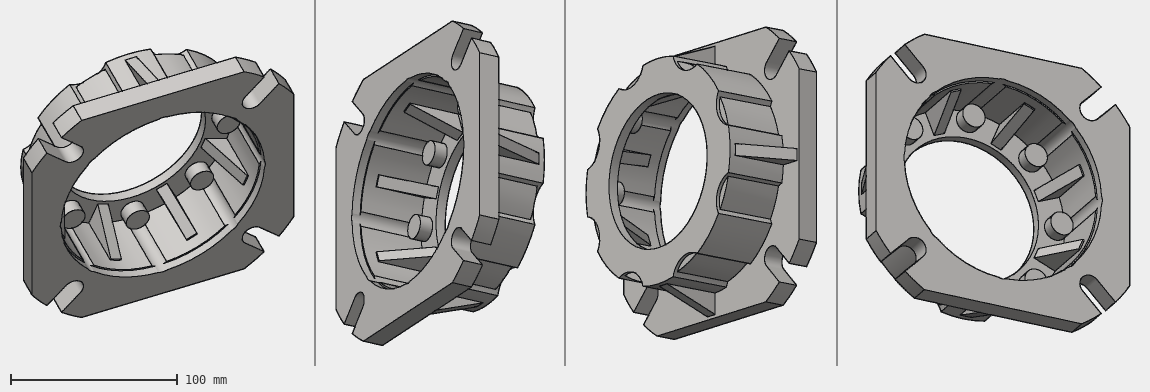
import cadquery as cq

TOTAL_LENGTH = 54.0
FRONT_X = -TOTAL_LENGTH / 2

PLATE_SIZE = 170.0
PLATE_THICKNESS = 13.3
PLATE_CORNER_RADIUS = 100.0
BARREL_LENGTH = TOTAL_LENGTH - PLATE_THICKNESS

SLOT_WIDTH = 13.5
SLOT_CENTER_RADIUS = 82.4
SLOT_COUNT = 4

BARREL_RADIUS = 69.8
LIP_BORE_RADIUS = 47.5
LIP_THICKNESS = 6.5
CAVITY_RADIUS = 65.0
BACK_RECESS_RADIUS = 66.0
BACK_RECESS_DEPTH = 5.6

SCALLOP_RADIUS = 16.0
SCALLOP_CENTER_RADIUS = 78.5
SCALLOP_FLOOR_RADIUS = 67.0
SCALLOP_FRONT_DEPTH = 2.3

BOSS_RADIUS = 7.5
BOSS_CENTER_RADIUS = 59.0
BOSS_END = 15.0

RIB_WIDTH = 7.4
RIB_START = 4.0
RIB_PLATE_RADIUS = 83.0
RIB_COUNT = 4

INNER_RIB_LIP_RADIUS = 49.7
INNER_RIB_END_RADIUS = 64.0
INNER_RIB_END = 40.0

FEATURE_COUNT = 8
FEATURE_STEP = 360.0 / FEATURE_COUNT
SCALLOP_ANGLE = FEATURE_STEP / 2

OVERLAP = 1.0


def disc(radius, start, end, center_radius=0.0):
    """Cylinder along X between two distances from the front face, offset along +Y."""
    return (
        cq.Workplane("YZ", origin=(FRONT_X + start, 0, 0))
        .center(center_radius, 0)
        .circle(radius)
        .extrude(end - start)
    )


def around_axis(body, count, first_angle=0.0):
    """Copies of a body equally spaced around the X axis, as one workplane."""
    copies = cq.Workplane("YZ")
    for index in range(count):
        angle = first_angle + index * 360.0 / count
        copies = copies.add(body.rotate((0, 0, 0), (1, 0, 0), angle).vals())
    return copies.combine()


def radial_rib(profile):
    """Rib of RIB_WIDTH centred on the XY plane, from (distance from front, radius) points."""
    points = [(FRONT_X + distance, radius) for distance, radius in profile]
    return cq.Workplane("XY").polyline(points).close().extrude(RIB_WIDTH / 2, both=True)


def make_plate():
    square = (
        cq.Workplane("YZ", origin=(FRONT_X + BARREL_LENGTH, 0, 0))
        .rect(PLATE_SIZE, PLATE_SIZE)
        .extrude(PLATE_THICKNESS)
    )
    return square.intersect(disc(PLATE_CORNER_RADIUS, BARREL_LENGTH, TOTAL_LENGTH))


def make_slots():
    slot_run = PLATE_CORNER_RADIUS + OVERLAP - SLOT_CENTER_RADIUS
    straight = (
        cq.Workplane("YZ", origin=(FRONT_X + BARREL_LENGTH, 0, 0))
        .center(SLOT_CENTER_RADIUS + slot_run / 2, 0)
        .rect(slot_run, SLOT_WIDTH)
        .extrude(PLATE_THICKNESS)
    )
    slot = straight.union(disc(SLOT_WIDTH / 2, BARREL_LENGTH, TOTAL_LENGTH, SLOT_CENTER_RADIUS))
    return around_axis(slot, SLOT_COUNT, 180.0 / SLOT_COUNT)


def make_scallops():
    full_cut = disc(SCALLOP_RADIUS, 0, BARREL_LENGTH, SCALLOP_CENTER_RADIUS)
    kept_wall = disc(SCALLOP_FLOOR_RADIUS, SCALLOP_FRONT_DEPTH, BARREL_LENGTH)
    return around_axis(full_cut.cut(kept_wall), FEATURE_COUNT, SCALLOP_ANGLE)


def make_outer_ribs():
    foot_radius = BARREL_RADIUS - OVERLAP
    profile = [
        (RIB_START, foot_radius),
        (RIB_START, BARREL_RADIUS),
        (BARREL_LENGTH, RIB_PLATE_RADIUS),
        (BARREL_LENGTH, foot_radius),
    ]
    return around_axis(radial_rib(profile), RIB_COUNT)


def make_inner_ribs():
    profile = [
        (LIP_THICKNESS, CAVITY_RADIUS + OVERLAP),
        (LIP_THICKNESS, INNER_RIB_LIP_RADIUS),
        (INNER_RIB_END, INNER_RIB_END_RADIUS),
        (INNER_RIB_END, CAVITY_RADIUS + OVERLAP),
    ]
    return around_axis(radial_rib(profile), FEATURE_COUNT, SCALLOP_ANGLE)


def make_cavity():
    cavity = disc(CAVITY_RADIUS, LIP_THICKNESS, TOTAL_LENGTH)
    cavity = cavity.union(disc(LIP_BORE_RADIUS, 0, TOTAL_LENGTH))
    recess_start = TOTAL_LENGTH - BACK_RECESS_DEPTH
    return cavity.union(disc(BACK_RECESS_RADIUS, recess_start, TOTAL_LENGTH))


def make_bosses():
    boss = disc(BOSS_RADIUS, LIP_THICKNESS, BOSS_END, BOSS_CENTER_RADIUS)
    return around_axis(boss, FEATURE_COUNT)


def make_channels():
    channel = disc(BOSS_RADIUS, BOSS_END, TOTAL_LENGTH, BOSS_CENTER_RADIUS)
    return around_axis(channel, FEATURE_COUNT)


result = disc(BARREL_RADIUS, 0, BARREL_LENGTH).cut(make_scallops())
result = result.union(make_plate()).cut(make_slots()).union(make_outer_ribs())
result = result.cut(make_cavity()).cut(make_channels())
result = result.union(make_bosses()).union(make_inner_ribs())